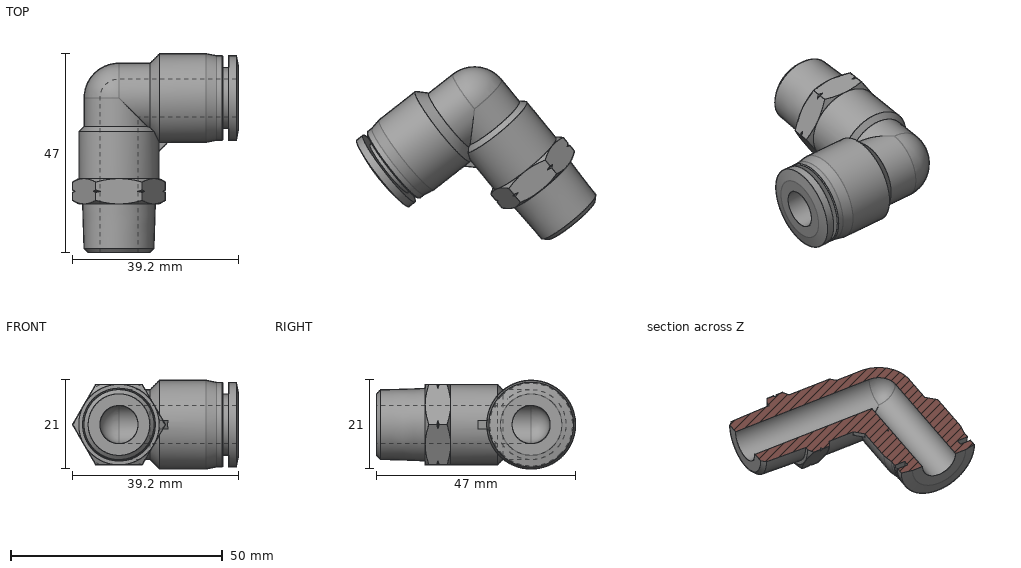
import cadquery as cq
import math


ELBOW_RADIUS = 8.25
BORE_RADIUS = 4.5

COLLAR_RADIUS = 9.5
COLLAR_START = 6.7
COLLAR_FULL = COLLAR_START + COLLAR_RADIUS - ELBOW_RADIUS
HEX_ACROSS_FLATS = 19.0
HEX_START = 19.0
HEX_END = 25.0
HEX_CHAMFER_ANGLE = 30.0
THREAD_END = 36.5
THREAD_ROOT_RADIUS = 8.6
THREAD_TAPER = 1 / 16
THREAD_CHAMFER = 1.0
HEX_NOTCH_DEPTH = 0.5
HEX_NOTCH_HALF_WIDTH = 0.3

SLEEVE_RADIUS = 10.5
SLEEVE_START = 7.35
SLEEVE_FULL = SLEEVE_START + SLEEVE_RADIUS - ELBOW_RADIUS
SLEEVE_TAPER_START = 20.5
SLEEVE_TAPER_END = 23.05
SLEEVE_END = 24.6
SLEEVE_EDGE_CHAMFER = 0.25
RIM_RADIUS = 10.0
NECK_RADIUS = 7.25
FLANGE_START = 25.85
FLANGE_SHOULDER = 27.7
FLANGE_END = 28.25
FLANGE_FACE_RADIUS = 7.25

GUSSET_WIDTH = 2.0
GUSSET_TIP_X = 11.6
GUSSET_TIP_Y = -10.4

HEX_CORNER_RADIUS = HEX_ACROSS_FLATS / 2 / math.cos(math.pi / 6)


def revolve_along_x(profile):
    """Revolve a (distance, radius) profile into a solid along +X, closed on the axis."""
    points = [(profile[0][0], 0)] + profile + [(profile[-1][0], 0)]
    return cq.Workplane("XY").polyline(points).close().revolve(360, (0, 0, 0), (1, 0, 0))


def revolve_along_minus_y(profile):
    """Revolve a (distance, radius) profile into a solid along -Y."""
    return revolve_along_x(profile).rotate((0, 0, 0), (0, 0, 1), -90)


def make_elbow(radius, thread_length, tube_length):
    """Two round legs meeting at a spherical outer corner."""
    thread_leg = revolve_along_minus_y([(0, radius), (thread_length, radius)])
    tube_leg = revolve_along_x([(0, radius), (tube_length, radius)])
    return cq.Workplane("XY").sphere(radius).union(thread_leg).union(tube_leg)


def make_collar():
    """Thicker round section between the elbow and the hexagon."""
    return revolve_along_minus_y([
        (COLLAR_START, ELBOW_RADIUS),
        (COLLAR_FULL, COLLAR_RADIUS),
        (HEX_END, COLLAR_RADIUS),
    ])


def make_hexagon():
    """Wrench hexagon with chamfered faces and a V notch across each corner."""
    prism = (
        cq.Workplane("XZ", origin=(0, -HEX_START, 0))
        .polygon(6, 2 * HEX_CORNER_RADIUS)
        .extrude(HEX_END - HEX_START)
    )
    flat_radius = HEX_ACROSS_FLATS / 2
    middle = (HEX_START + HEX_END) / 2
    envelope_radius = HEX_CORNER_RADIUS + HEX_NOTCH_DEPTH
    notch_radius = HEX_CORNER_RADIUS - HEX_NOTCH_DEPTH
    notch_reach = HEX_NOTCH_HALF_WIDTH * (envelope_radius - notch_radius) / HEX_NOTCH_DEPTH
    chamfer_length = (envelope_radius - flat_radius) * math.tan(math.radians(HEX_CHAMFER_ANGLE))
    envelope = revolve_along_minus_y([
        (HEX_START, flat_radius),
        (HEX_START + chamfer_length, envelope_radius),
        (middle - notch_reach, envelope_radius),
        (middle, notch_radius),
        (middle + notch_reach, envelope_radius),
        (HEX_END - chamfer_length, envelope_radius),
        (HEX_END, flat_radius),
    ])
    return prism.intersect(envelope)


def make_thread():
    """Plain tapered thread body with a chamfered end."""
    chamfer_start = THREAD_END - THREAD_CHAMFER
    tip_radius = THREAD_ROOT_RADIUS - (chamfer_start - HEX_END) * THREAD_TAPER / 2
    return revolve_along_minus_y([
        (HEX_START, THREAD_ROOT_RADIUS),
        (HEX_END, THREAD_ROOT_RADIUS),
        (chamfer_start, tip_radius),
        (THREAD_END, tip_radius - THREAD_CHAMFER),
    ])


def make_tube_leg():
    """Tube sleeve, neck and release flange."""
    return revolve_along_x([
        (SLEEVE_START, ELBOW_RADIUS),
        (SLEEVE_FULL, SLEEVE_RADIUS),
        (SLEEVE_TAPER_START, SLEEVE_RADIUS),
        (SLEEVE_TAPER_END, RIM_RADIUS),
        (SLEEVE_END - SLEEVE_EDGE_CHAMFER, RIM_RADIUS),
        (SLEEVE_END, RIM_RADIUS - SLEEVE_EDGE_CHAMFER),
        (SLEEVE_END, NECK_RADIUS),
        (FLANGE_START, NECK_RADIUS),
        (FLANGE_START, RIM_RADIUS),
        (FLANGE_SHOULDER, RIM_RADIUS),
        (FLANGE_END, FLANGE_FACE_RADIUS),
    ])


def make_gusset():
    """Thin rib with a 45 degree face, rooted inside both legs."""
    root_x = ELBOW_RADIUS
    root_y = GUSSET_TIP_Y - (GUSSET_TIP_X - root_x)
    return (
        cq.Workplane("XY")
        .moveTo(GUSSET_TIP_X, GUSSET_TIP_Y)
        .lineTo(root_x, root_y)
        .lineTo(root_x, -ELBOW_RADIUS)
        .lineTo(GUSSET_TIP_X, -ELBOW_RADIUS)
        .close()
        .extrude(GUSSET_WIDTH / 2, both=True)
    )


body = make_elbow(ELBOW_RADIUS, COLLAR_FULL, SLEEVE_FULL)
for section in (make_collar(), make_hexagon(), make_thread(), make_tube_leg(), make_gusset()):
    body = body.union(section)

result = body.cut(make_elbow(BORE_RADIUS, THREAD_END, FLANGE_END))